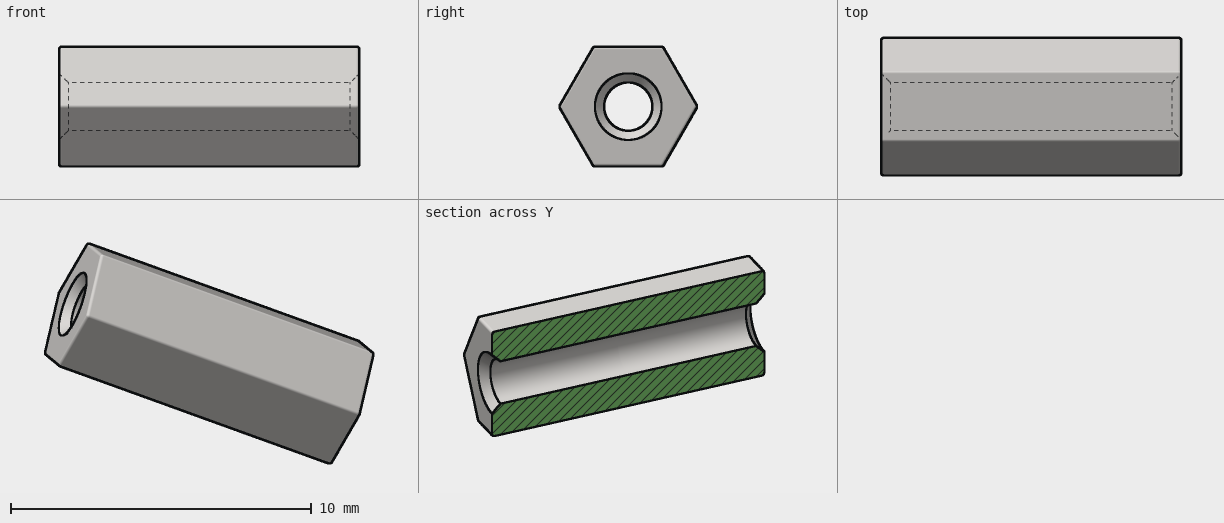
import cadquery as cq
import math

length = 10.0
across_flats = 4.0
edge_radius = 0.1
bore_diameter = 1.6
countersink_diameter = 2.22
countersink_angle = 90.0

across_corners = across_flats / math.cos(math.radians(30))

body = (
    cq.Workplane("YZ")
    .polygon(6, across_corners)
    .extrude(length / 2, both=True)
    .edges()
    .fillet(edge_radius)
)


def countersunk_bore(part, end_face):
    """Drill from one end to the middle, with a countersink at the mouth."""
    return (
        part.faces(end_face)
        .workplane(centerOption="CenterOfBoundBox")
        .cskHole(bore_diameter, countersink_diameter, countersink_angle, depth=length / 2)
    )


result = body
for end_face in ("<X", ">X"):
    result = countersunk_bore(result, end_face)